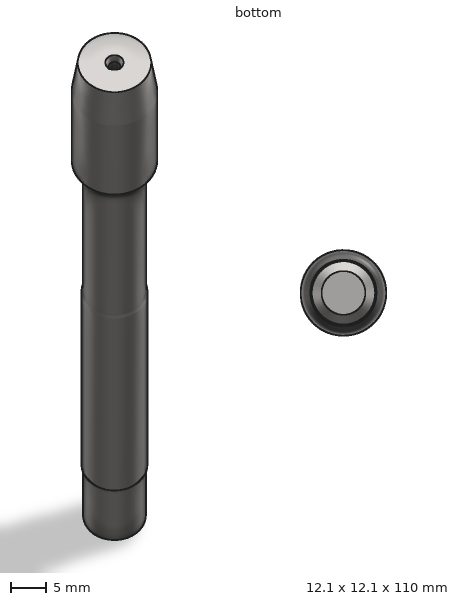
import cadquery as cq
import math

length = 110.0
tip_chamfer_height = 1.6
sleeve_bottom = 13.5
sleeve_bottom_chamfer_height = 0.3
sleeve_top = 55.7
sleeve_top_chamfer_height = 0.7
head_bottom = 86.7
head_taper_height = 6.8

tip_diameter = 6.2
pilot_diameter = 8.9
sleeve_diameter = 9.4
neck_diameter = 9.0
head_diameter = 12.1
head_top_diameter = 10.3

neck_fillet_radius = (head_diameter - neck_diameter) / 2

centre_hole_diameter = 1.6
bore_length = 2.2
drill_tip_angle = 120.0
countersink_width = 0.46
countersink_depth = 1.0



def make_body():
    """Revolve the stepped half-profile about the Z axis."""
    fillet_bottom = head_bottom - neck_fillet_radius
    profile = (
        cq.Workplane("XZ")
        .lineTo(tip_diameter / 2, 0)
        .lineTo(pilot_diameter / 2, tip_chamfer_height)
        .lineTo(pilot_diameter / 2, sleeve_bottom)
        .lineTo(sleeve_diameter / 2, sleeve_bottom + sleeve_bottom_chamfer_height)
        .lineTo(sleeve_diameter / 2, sleeve_top - sleeve_top_chamfer_height)
        .lineTo(neck_diameter / 2, sleeve_top)
        .lineTo(neck_diameter / 2, fillet_bottom)
        .tangentArcPoint((head_diameter / 2, head_bottom), relative=False)
        .lineTo(head_diameter / 2, length - head_taper_height)
        .lineTo(head_top_diameter / 2, length)
        .lineTo(0, length)
        .close()
    )
    return profile.revolve(360, (0, 0, 0), (0, 1, 0))


def make_centre_hole():
    """Revolve the material removed by a centre drill on the axis of the head."""
    bore_radius = centre_hole_diameter / 2
    countersink_bottom = length - countersink_depth
    bore_bottom = countersink_bottom - bore_length
    drill_tip_depth = bore_radius / math.tan(math.radians(drill_tip_angle / 2))
    profile = (
        cq.Workplane("XZ")
        .moveTo(0, length)
        .lineTo(bore_radius + countersink_width, length)
        .lineTo(bore_radius, countersink_bottom)
        .lineTo(bore_radius, bore_bottom)
        .lineTo(0, bore_bottom - drill_tip_depth)
        .close()
    )
    return profile.revolve(360, (0, 0, 0), (0, 1, 0))


result = make_body().cut(make_centre_hole())